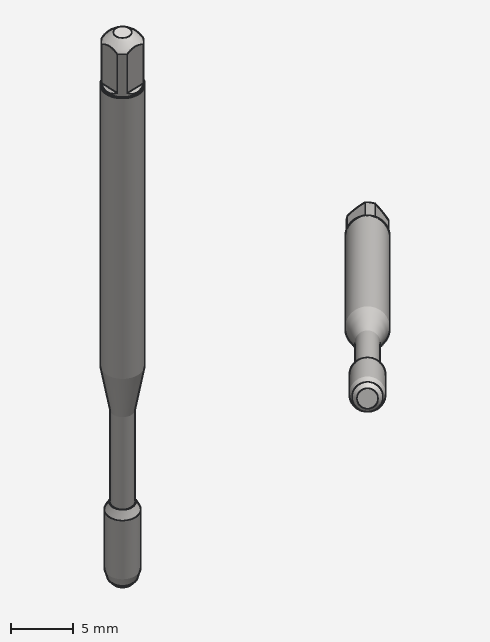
import cadquery as cq

total_length = 56.1

head_radius = 1.45
head_top_radius = 1.05
head_tip_radius = 0.85
head_lead_radius = 1.25
head_tip_height = 0.5
head_lead_height = 1.35
head_shoulder_height = 7.35
head_top_height = 8.15

neck_radius = 1.0
taper_bottom_height = 17.55
taper_top_height = 22.1
shank_radius = 1.8
shank_top_height = 50.75

drive_radius = 1.71
across_flats = 2.9
flat_bottom_height = 51.2
dome_edge_height = 55.2
dome_middle_radius = 1.25
dome_middle_height = 55.7
dome_flat_radius = 0.75


def make_head():
    """Turned head with a lead chamfer and blunt point below, and a bevelled shoulder above."""
    return (
        cq.Workplane("XZ")
        .lineTo(head_tip_radius, 0)
        .lineTo(head_lead_radius, head_tip_height)
        .lineTo(head_radius, head_lead_height)
        .lineTo(head_radius, head_shoulder_height)
        .lineTo(head_top_radius, head_top_height)
        .lineTo(0, head_top_height)
        .close()
        .revolve(360, (0, 0, 0), (0, 1, 0))
    )


def make_round_shank():
    """Neck, taper, shank and domed drive end as one turned shape."""
    drive_bottom_height = shank_top_height + shank_radius - drive_radius
    return (
        cq.Workplane("XZ")
        .moveTo(0, head_top_height)
        .lineTo(neck_radius, head_top_height)
        .lineTo(neck_radius, taper_bottom_height)
        .lineTo(shank_radius, taper_top_height)
        .lineTo(shank_radius, shank_top_height)
        .lineTo(drive_radius, drive_bottom_height)
        .lineTo(drive_radius, dome_edge_height)
        .threePointArc((dome_middle_radius, dome_middle_height), (dome_flat_radius, total_length))
        .lineTo(0, total_length)
        .close()
        .revolve(360, (0, 0, 0), (0, 1, 0))
    )


def make_flat_cutter():
    """Cutter for the +X drive flat, with a 45 degree runout at its lower end."""
    flat_distance = across_flats / 2
    runout = shank_radius - flat_distance
    return (
        cq.Workplane("XZ")
        .moveTo(flat_distance, flat_bottom_height)
        .lineTo(shank_radius, flat_bottom_height - runout)
        .lineTo(shank_radius, total_length)
        .lineTo(flat_distance, total_length)
        .close()
        .extrude(shank_radius, both=True)
    )


def make_shank():
    """Turned shank with four flats forming the square drive."""
    shank = make_round_shank()
    cutter = make_flat_cutter()
    flat_count = 4
    for index in range(flat_count):
        angle = index * 360 / flat_count
        shank = shank.cut(cutter.rotate((0, 0, 0), (0, 0, 1), angle))
    return shank


head = make_head()
shank = make_shank()
result = cq.Compound.makeCompound([head.val(), shank.val()])